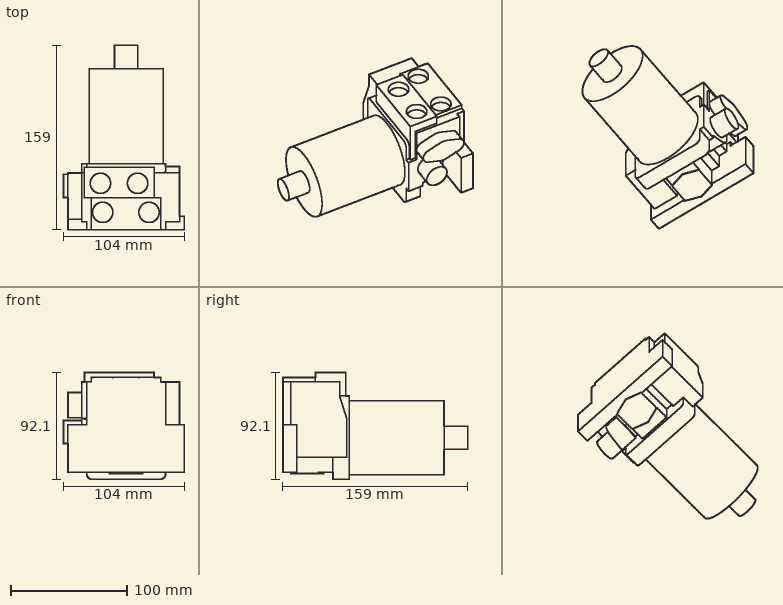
import cadquery as cq
import math

TOTAL_LENGTH = 159.0

MOTOR_RADIUS = 32.0
MOTOR_BACK = 138.6
SHAFT_RADIUS = 10.0
FLANGE_BACK = 57.1
FLANGE_FRONT = 43.0
FLANGE_HALF_HEIGHT = 36.0
FLANGE_CORNER = 5.0

COLUMN_HALF_WIDTH = 34.0
COLUMN_DEPTH = 12.0
FOOT_HALF_WIDTH = 50.1
FOOT_TOP = 11.3
BODY_BOTTOM = -29.9
BODY_TOP = 48.0

CORE_HALF_WIDTH = 30.0
NECK_HALF_WIDTH = 22.3
KEEL_HALF_WIDTH = 14.3
CORE_BOTTOM = 5.9
NECK_BOTTOM = -9.9

MOUNT_LEFT = -38.3
MOUNT_RIGHT = 46.1
MOUNT_FRONT = 6.8
MOUNT_BACK = 49.0
MOUNT_BOTTOM = 16.9
COVER_BACK = 54.7
COVER_SLOPE_TOP = 35.0
ARM_BOTTOM = -17.0

BLOCK_WIDTH = 60.0
BLOCK_SPLIT = 27.8
FRONT_BLOCK_LEFT = -CORE_HALF_WIDTH
FRONT_BLOCK_TOP = 52.0
REAR_BLOCK_LEFT = -36.0
REAR_BLOCK_BACK = 54.0
REAR_BLOCK_TOP = 56.1
REAR_BLOCK_BOTTOM = 15.9
HOLE_DIAMETER = 17.5
HOLE_DEPTH = 6.4
REAR_HOLES = [(-22.1, 40.0), (9.9, 40.0)]
FRONT_HOLES = [(-20.2, 15.1), (19.7, 15.1)]

KNOB_Y = 37.8
KNOB_Z = 5.0
KNOB_RADIUS = 10.0
KNOB_LEFT = -53.9
ARM_RADIUS = 15.0
ARM_CORNER_Z = -13.7

LEVER_LEFT = -FOOT_HALF_WIDTH
LEVER_Y = 29.1
LEVER_Z = 28.0
LEVER_MID_RADIUS = 11.0
LEVER_TIP_RADIUS = 7.0
LEVER_TIP_OFFSET = 13.0

PAD_Y = 20.8
PAD_HALF_LENGTH = 14.2
PAD_SIDE_HALF_LENGTH = 9.7
PAD_BOTTOM = -30.8


def box(x_range, y_range, z_range):
    """Box between opposite limits on each axis."""
    sizes = [high - low for low, high in (x_range, y_range, z_range)]
    corner = (x_range[0], y_range[0], z_range[0])
    return cq.Workplane("XY").box(*sizes, centered=False).translate(corner)


def rod_along_y(radius, start, end):
    """Cylinder on the motor axis."""
    return cq.Workplane("XZ", origin=(0, start, 0)).circle(radius).extrude(start - end)


def side_sketch(x):
    """Workplane facing +X, with sketch coordinates (Y, Z)."""
    return cq.Workplane("YZ", origin=(x, 0, 0))


def motor():
    drum = rod_along_y(MOTOR_RADIUS, FLANGE_FRONT, MOTOR_BACK)
    shaft = rod_along_y(SHAFT_RADIUS, FLANGE_FRONT, TOTAL_LENGTH)
    flange = box(
        (-COLUMN_HALF_WIDTH, COLUMN_HALF_WIDTH),
        (FLANGE_FRONT, FLANGE_BACK),
        (-FLANGE_HALF_HEIGHT, FLANGE_HALF_HEIGHT),
    )
    return drum.union(shaft).union(flange.edges("|Y").fillet(FLANGE_CORNER))


def front_plate():
    depth = (0, COLUMN_DEPTH)
    foot = box((-FOOT_HALF_WIDTH, FOOT_HALF_WIDTH), depth, (BODY_BOTTOM, FOOT_TOP))
    column = box((-COLUMN_HALF_WIDTH, COLUMN_HALF_WIDTH), depth, (BODY_BOTTOM, BODY_TOP))
    return foot.union(column)


def core():
    depth = (COLUMN_DEPTH, FLANGE_FRONT)
    steps = [
        (CORE_HALF_WIDTH, CORE_BOTTOM, BODY_TOP),
        (NECK_HALF_WIDTH, NECK_BOTTOM, CORE_BOTTOM),
        (KEEL_HALF_WIDTH, BODY_BOTTOM, NECK_BOTTOM),
    ]
    stack = cq.Workplane("XY")
    for half_width, bottom, top in steps:
        stack = stack.add(box((-half_width, half_width), depth, (bottom, top)))
    return stack.combine()


def pad():
    outline = [
        (0, PAD_HALF_LENGTH),
        (KEEL_HALF_WIDTH, PAD_SIDE_HALF_LENGTH),
        (KEEL_HALF_WIDTH, -PAD_SIDE_HALF_LENGTH),
        (0, -PAD_HALF_LENGTH),
        (-KEEL_HALF_WIDTH, -PAD_SIDE_HALF_LENGTH),
        (-KEEL_HALF_WIDTH, PAD_SIDE_HALF_LENGTH),
    ]
    base = cq.Workplane("XY", origin=(0, PAD_Y, PAD_BOTTOM))
    return base.polyline(outline).close().extrude(BODY_BOTTOM - PAD_BOTTOM)


def side_mount():
    return box((MOUNT_LEFT, MOUNT_RIGHT), (MOUNT_FRONT, MOUNT_BACK), (MOUNT_BOTTOM, BODY_TOP))


def right_cover():
    """Cover on the +X side, whose back face leans outward below the mount."""
    outline = [
        (MOUNT_FRONT, ARM_BOTTOM),
        (COVER_BACK, ARM_BOTTOM),
        (COVER_BACK, MOUNT_BOTTOM),
        (MOUNT_BACK, COVER_SLOPE_TOP),
        (MOUNT_FRONT, COVER_SLOPE_TOP),
    ]
    width = MOUNT_RIGHT - NECK_HALF_WIDTH
    return side_sketch(NECK_HALF_WIDTH).polyline(outline).close().extrude(width)


def knob_arm():
    """Arm rounded about the knob, with a flat tangent to the round down to the flange."""
    corner_y = FLANGE_FRONT - KNOB_Y
    corner_z = ARM_CORNER_Z - KNOB_Z
    corner_distance = math.hypot(corner_y, corner_z)
    tangent_angle = math.atan2(corner_z, corner_y) - math.acos(ARM_RADIUS / corner_distance)
    top_angle = math.pi - math.asin((MOUNT_BOTTOM - KNOB_Z) / ARM_RADIUS)

    def on_round(angle):
        return (KNOB_Y + ARM_RADIUS * math.cos(angle), KNOB_Z + ARM_RADIUS * math.sin(angle))

    outline = (
        side_sketch(MOUNT_LEFT)
        .moveTo(FLANGE_BACK, MOUNT_BOTTOM)
        .lineTo(*on_round(top_angle))
        .threePointArc(on_round(math.pi), on_round(tangent_angle))
        .lineTo(FLANGE_FRONT, ARM_CORNER_Z)
        .lineTo(FLANGE_FRONT, ARM_BOTTOM)
        .lineTo(FLANGE_BACK, ARM_BOTTOM)
        .close()
    )
    return outline.extrude(-NECK_HALF_WIDTH - MOUNT_LEFT)


def knob():
    disc = side_sketch(KNOB_LEFT).center(KNOB_Y, KNOB_Z).circle(KNOB_RADIUS)
    return disc.extrude(MOUNT_LEFT - KNOB_LEFT)


def lever():
    """Large middle circle joined to two tip circles by straight tangents."""
    sine = (LEVER_MID_RADIUS - LEVER_TIP_RADIUS) / LEVER_TIP_OFFSET
    cosine = math.sqrt(1 - sine**2)
    mid = (LEVER_MID_RADIUS * sine, LEVER_MID_RADIUS * cosine)
    tip = (LEVER_TIP_OFFSET + LEVER_TIP_RADIUS * sine, LEVER_TIP_RADIUS * cosine)
    tip_end = LEVER_TIP_OFFSET + LEVER_TIP_RADIUS
    outline = (
        side_sketch(LEVER_LEFT)
        .center(LEVER_Y, LEVER_Z)
        .moveTo(-mid[0], mid[1])
        .threePointArc((0, LEVER_MID_RADIUS), mid)
        .lineTo(*tip)
        .threePointArc((tip_end, 0), (tip[0], -tip[1]))
        .lineTo(mid[0], -mid[1])
        .threePointArc((0, -LEVER_MID_RADIUS), (-mid[0], -mid[1]))
        .lineTo(-tip[0], -tip[1])
        .threePointArc((-tip_end, 0), (-tip[0], tip[1]))
        .close()
    )
    return outline.extrude(MOUNT_LEFT - LEVER_LEFT)


def terminal_block(left, y_range, z_range, hole_centres):
    """Block of the common width, and the blind round holes to sink in its top face."""
    block = box((left, left + BLOCK_WIDTH), y_range, z_range)
    top_plane = cq.Workplane("XY", origin=(0, 0, z_range[1]))
    holes = top_plane.pushPoints(hole_centres).circle(HOLE_DIAMETER / 2).extrude(-HOLE_DEPTH)
    return block, holes


front_block, front_holes = terminal_block(
    FRONT_BLOCK_LEFT, (0, BLOCK_SPLIT), (CORE_BOTTOM, FRONT_BLOCK_TOP), FRONT_HOLES
)
rear_block, rear_holes = terminal_block(
    REAR_BLOCK_LEFT, (BLOCK_SPLIT, REAR_BLOCK_BACK), (REAR_BLOCK_BOTTOM, REAR_BLOCK_TOP), REAR_HOLES
)

result = front_plate()
for piece in (
    core(),
    motor(),
    pad(),
    side_mount(),
    right_cover(),
    knob_arm(),
    knob(),
    lever(),
    front_block,
    rear_block,
):
    result = result.union(piece)
result = result.cut(front_holes).cut(rear_holes)